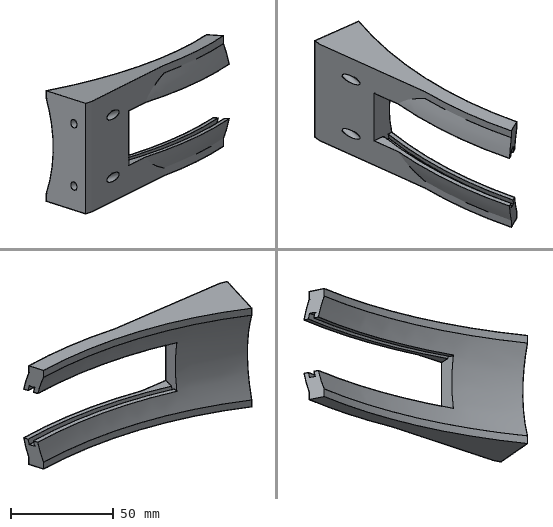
import cadquery as cq
import math

height = 57.1
inner_radius = 208.6
wall = 7.7
axis_x = -174.8
axis_y = -2.0
tip_inner = (0, 112.0)
tip_outer = (7.8, 120.3)
base_inner = (33.8, 0)
base_outer = (60.5, 6.5)
heel_length = 4.1
wedge_top = (29.4, 70.3)

edge_z = 24.5
bulge = 4.7

slot_half = 14.0
slot_end = (33.6, 37.9)
slot_angle = 16
groove_width = 2.9
groove_depth = 2.9

hole_diameter = 4.2
hole_x = 52.5
hole_z = 16.1
hole_tilt = 4.5
hole_length = 96.1

bulge_radius = (edge_z**2 + bulge**2) / (2 * bulge)
bulge_center = inner_radius + bulge - bulge_radius


def prism(points):
    """Full-height prism centred on mid height."""
    return cq.Workplane("XY").polyline(points).close().extrude(height / 2, both=True)


def barrel(offset):
    """Solid of revolution about the curve axis, its bulge concentric with the inner face."""
    half = height / 2
    section_radius = bulge_radius + offset
    peak_radius = bulge_center + section_radius
    edge_radius = bulge_center + math.sqrt(section_radius**2 - edge_z**2)
    profile = (
        cq.Workplane("XZ")
        .moveTo(0, -half)
        .lineTo(edge_radius, -half)
        .lineTo(edge_radius, -edge_z)
        .threePointArc((peak_radius, 0), (edge_radius, edge_z))
        .lineTo(edge_radius, half)
        .lineTo(0, half)
        .close()
    )
    return profile.revolve(360, (0, 0), (0, 1)).translate((axis_x, axis_y, 0))


def along(start, end, distance):
    """Point at a distance from start on the line through start and end."""
    step = distance / math.dist(start, end)
    return tuple(a + (b - a) * step for a, b in zip(start, end))


def make_body():
    core = barrel(0)
    arms = barrel(wall)
    reach = 48.1
    arm_limits = prism(
        [
            along(base_inner, base_outer, -reach),
            along(base_inner, base_outer, reach),
            along(tip_inner, tip_outer, reach),
            along(tip_inner, tip_outer, -reach),
        ]
    )
    base_length = math.dist(base_inner, base_outer)
    base_dx = (base_outer[0] - base_inner[0]) / base_length
    base_dy = (base_outer[1] - base_inner[1]) / base_length
    heel = (base_outer[0] - heel_length * base_dy, base_outer[1] + heel_length * base_dx)
    wedge = prism([base_inner, base_outer, heel, wedge_top])
    return arms.intersect(arm_limits).union(wedge).cut(core)


def slot_space(half_height):
    """Block covering everything beyond the slot's end wall."""
    size = 360.5
    block = cq.Workplane("XY").rect(size, size).extrude(half_height, both=True)
    block = block.translate((0, size / 2, 0)).rotate((0, 0, 0), (0, 0, 1), slot_angle)
    return block.translate((*slot_end, 0))


def cut_slot(body):
    groove_start = (wall - groove_width) / 2
    groove_ring = barrel(groove_start + groove_width).cut(barrel(groove_start))
    grooves = groove_ring.intersect(slot_space(slot_half + groove_depth))
    return body.cut(slot_space(slot_half)).cut(grooves)


def cut_holes(body):
    base_slope = (base_outer[1] - base_inner[1]) / (base_outer[0] - base_inner[0])
    hole_y = (hole_x - base_inner[0]) * base_slope
    tilt = math.radians(hole_tilt)
    direction = cq.Vector(-math.sin(tilt), math.cos(tilt), 0)
    for z in (-hole_z, hole_z):
        start = cq.Vector(hole_x, hole_y, z) - direction * (hole_length / 2)
        drill = cq.Solid.makeCylinder(hole_diameter / 2, hole_length, start, direction)
        body = body.cut(cq.Workplane(drill))
    return body


result = cut_holes(cut_slot(make_body()))